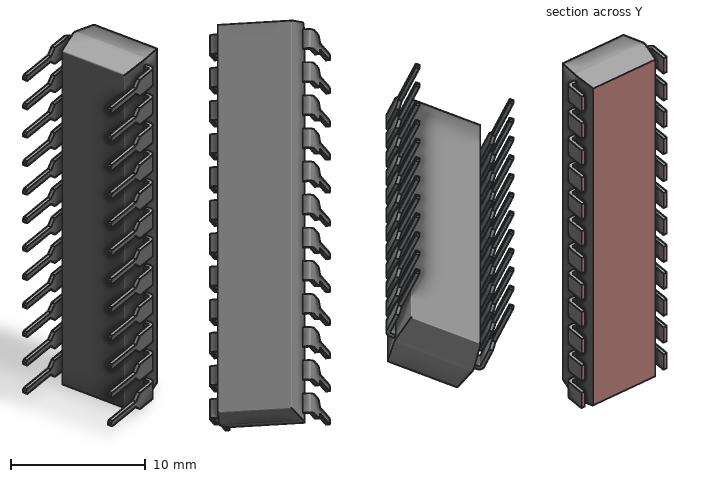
import cadquery as cq
import math


LEADS_PER_SIDE = 12
LEAD_PITCH = 2.54
OVERALL_WIDTH = 7.92
OVERALL_HEIGHT = 7.75

BODY_LENGTH = LEADS_PER_SIDE * LEAD_PITCH
BODY_WIDTH = 6.35
BODY_HEIGHT = 4.3
BAND_HEIGHT = 0.3
DRAFT_ANGLE = 10.0
FACE_EDGE_RADIUS = 0.1

LEAD_THICKNESS = BAND_HEIGHT
SHOULDER_WIDTH = 1.46
PIN_WIDTH = 0.46
BEND_INNER_RADIUS = 0.1
LEAD_OVERLAP = 0.3
SHOULDER_DEPTH = 1.97
SHOULDER_TAPER = (SHOULDER_WIDTH - PIN_WIDTH) / 2
TIP_CHAMFER = 0.12

body_top = BODY_HEIGHT / 2
half_band = BAND_HEIGHT / 2
lead_top = half_band
lead_tip = body_top - OVERALL_HEIGHT
lead_outer_x = OVERALL_WIDTH / 2
lead_inner_x = BODY_WIDTH / 2 - LEAD_OVERLAP
bend_outer_radius = BEND_INNER_RADIUS + LEAD_THICKNESS


def make_body_half(side):
    """Drafted half of the body; side is +1 toward +Y and -1 toward -Y."""
    half = (
        cq.Workplane("XZ", origin=(0, side * half_band, 0))
        .rect(BODY_WIDTH, BODY_LENGTH)
        .extrude(-side * (body_top - half_band), taper=DRAFT_ANGLE)
    )
    outer_face = ">Y" if side > 0 else "<Y"
    return half.faces(outer_face).edges().fillet(FACE_EDGE_RADIUS)


def make_body():
    band = cq.Workplane("XZ").rect(BODY_WIDTH, BODY_LENGTH).extrude(half_band, both=True)
    return band.union(make_body_half(1)).union(make_body_half(-1))


def make_bent_strip():
    """Full-width strip leaving the body along +X and bent down toward -Y."""
    diagonal = math.sqrt(0.5)
    bend_x = lead_outer_x - bend_outer_radius
    bend_y = lead_top - bend_outer_radius
    lead_bottom = lead_top - LEAD_THICKNESS
    inner_face_x = lead_outer_x - LEAD_THICKNESS
    return (
        cq.Workplane("XY")
        .moveTo(lead_inner_x, lead_top)
        .lineTo(bend_x, lead_top)
        .threePointArc(
            (bend_x + bend_outer_radius * diagonal, bend_y + bend_outer_radius * diagonal),
            (lead_outer_x, bend_y),
        )
        .lineTo(lead_outer_x, lead_tip)
        .lineTo(inner_face_x, lead_tip)
        .lineTo(inner_face_x, bend_y)
        .threePointArc(
            (bend_x + BEND_INNER_RADIUS * diagonal, bend_y + BEND_INNER_RADIUS * diagonal),
            (bend_x, lead_bottom),
        )
        .lineTo(lead_inner_x, lead_bottom)
        .close()
        .extrude(SHOULDER_WIDTH / 2, both=True)
    )


def make_lead_outline():
    """Lead outline in YZ: wide shoulder, tapering to a slim pin with a chamfered tip."""
    half_shoulder = SHOULDER_WIDTH / 2
    half_pin = PIN_WIDTH / 2
    shoulder_end = lead_top - SHOULDER_DEPTH
    pin_start = shoulder_end - SHOULDER_TAPER
    lower_edge = [
        (lead_top, -half_shoulder),
        (shoulder_end, -half_shoulder),
        (pin_start, -half_pin),
        (lead_tip + TIP_CHAMFER, -half_pin),
        (lead_tip, TIP_CHAMFER - half_pin),
    ]
    upper_edge = [(y, -z) for y, z in reversed(lower_edge)]
    return cq.Workplane("YZ").polyline(lower_edge + upper_edge).close().extrude(OVERALL_WIDTH)


def make_part():
    right_lead = make_bent_strip().intersect(make_lead_outline())
    left_lead = right_lead.mirror("YZ")
    part = make_body()
    for index in range(LEADS_PER_SIDE):
        z = (index - (LEADS_PER_SIDE - 1) / 2) * LEAD_PITCH
        part = part.union(right_lead.translate((0, 0, z)))
        part = part.union(left_lead.translate((0, 0, z)))
    return part


result = make_part()